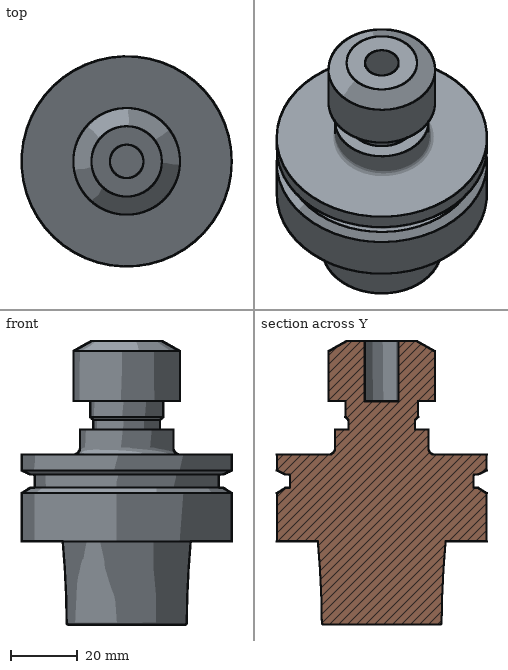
import cadquery as cq
import math

shank_top = 25.0
lower_rim = 39.4
groove_bottom = 41.05
groove_top = 45.0
upper_rim = 46.2
flange_top = 51.0
boss_top = 58.5
neck_step = 61.4
neck_shoulder = 62.2
head_bottom = 67.0
head_rim = 81.9
total_height = 85.0

shank_end_radius = 18.0
shank_top_radius = 19.2
flange_radius = 31.49
groove_radius = 27.6
boss_radius = 14.0
neck_radius = 10.0
collar_radius = 11.0
head_radius = 16.0
head_top_radius = 10.5
bore_radius = 5.0

shank_end_fillet = 0.7
shank_middle_radius = 18.4
boss_fillet = 1.95
groove_fillet = 0.25
groove_lip_radius = 28.9
bore_depth = total_height - head_bottom


def turned_body():
    """Revolve the half profile of the holder about the Z axis."""
    arc_inset = 1 - math.sqrt(0.5)
    boss_inset = boss_fillet * arc_inset
    groove_inset = groove_fillet * arc_inset
    shank_inset = shank_end_fillet * arc_inset
    profile = (
        cq.Workplane("XZ")
        .lineTo(shank_end_radius - shank_end_fillet, 0)
        .threePointArc(
            (shank_end_radius - shank_inset, shank_inset),
            (shank_end_radius, shank_end_fillet),
        )
        .threePointArc(
            (shank_middle_radius, (shank_end_fillet + shank_top) / 2),
            (shank_top_radius, shank_top),
        )
        .lineTo(flange_radius, shank_top)
        .lineTo(flange_radius, lower_rim)
        .lineTo(groove_lip_radius, groove_bottom)
        .lineTo(groove_radius + groove_fillet, groove_bottom)
        .threePointArc(
            (groove_radius + groove_inset, groove_bottom + groove_inset),
            (groove_radius, groove_bottom + groove_fillet),
        )
        .lineTo(groove_radius, groove_top - groove_fillet)
        .threePointArc(
            (groove_radius + groove_inset, groove_top - groove_inset),
            (groove_radius + groove_fillet, groove_top),
        )
        .lineTo(groove_lip_radius, groove_top)
        .lineTo(flange_radius, upper_rim)
        .lineTo(flange_radius, flange_top)
        .lineTo(boss_radius + boss_fillet, flange_top)
        .threePointArc(
            (boss_radius + boss_inset, flange_top + boss_inset),
            (boss_radius, flange_top + boss_fillet),
        )
        .lineTo(boss_radius, boss_top)
        .lineTo(neck_radius, boss_top)
        .lineTo(neck_radius, neck_step)
        .lineTo(collar_radius, neck_shoulder)
        .lineTo(collar_radius, head_bottom)
        .lineTo(head_radius, head_bottom)
        .lineTo(head_radius, head_rim)
        .lineTo(head_top_radius, total_height)
        .lineTo(0, total_height)
        .close()
    )
    return profile.revolve(360, (0, 0), (0, 1))


def bore():
    """Blind bore running down from the top of the head."""
    return (
        cq.Workplane("XY")
        .workplane(offset=total_height - bore_depth)
        .circle(bore_radius)
        .extrude(bore_depth)
    )


result = turned_body().cut(bore())